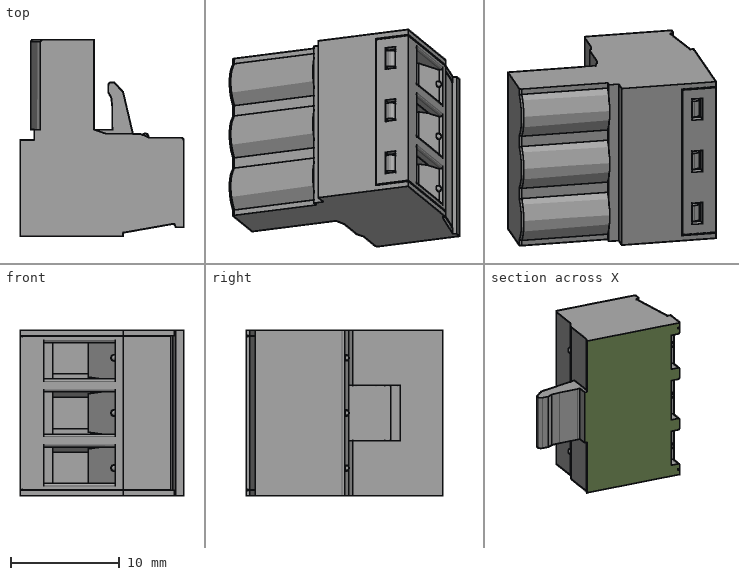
import cadquery as cq
import math


width = 15.05
length = 18.1
height = 15.24
half_height = height / 2
pole_pitch = 5.07
pole_heights = [-pole_pitch, 0, pole_pitch]

neck_x = 1.29
arm_left = 1.86
arm_right = 6.8
arm_base = 9.81
shoulder = 8.89
saddle_start = 7.93
saddle_end = 11.06
saddle_y = 9.43
base_slope_end = 11.87
base_back = 9.09
base_corner_radius = 0.27
entry_width = 9.47
slant_start_y = 0.33
slant_end_x = 14.15
slant_end_y = 1.15
hook_x = 14.3
hook_y = 0.83

rib_front = 0.96
rib_chord = 4.07
rib_bulge = arm_left - rib_front
rib_radius = ((rib_chord / 2) ** 2 + rib_bulge ** 2) / (2 * rib_bulge)
rib_overlap = 0.36
end_chamfer_x = 0.13
end_chamfer_y = 0.2

lever_height = pole_pitch
lever_root_x = 8.5
lever_root_top = 10.08
lever_neck_x = 8.45
lever_neck_top = 11.95
lever_bend_x = 8.36
lever_bend_y = 12.75
lever_bulge_y = 13.25
lever_left = 8.09
lever_tip_y = 14.17
lever_tip_radius = 0.29
lever_tip_right = 8.63
lever_back_x = 9.47
lever_back_y = 13.29
lever_foot_x = 10.37
lever_overlap = 0.18

entry_left = 2.17
entry_right = 8.72
wall_half_height = 1.94
back_half_height = 1.45
outer_wall_limit = 6.48
lip_radius = 0.22
straight_depth = 0.9
entry_depth = 2.39
shelf_right = 2.99
ramp_left = 6.26
ramp_left_y = 1.43
ramp_right_y = 0.36

ball_radius = 0.29
ramp_ball_x = 8.63
ramp_ball_y = 0.43
back_ball_x = 11.51
back_ball_y = 9.18

window_front = 1.27
window_back = 2.26
window_height = 2.06
window_depth = 0.72
spring_front = 1.41
spring_height = 1.52
spring_inset = 0.09
spring_radius = 0.62

groove_width = 0.07
groove_depth = 0.18
groove_height = 7.08
panel_back = 3.22
panel_right = 13.86
ditch_y = 1.47


def box(x_min, x_max, y_min, y_max, z_min, z_max):
    """Axis-aligned block between two corners."""
    size = (x_max - x_min, y_max - y_min, z_max - z_min)
    return cq.Workplane().box(*size, centered=False).translate((x_min, y_min, z_min))


def prism(outline, thickness):
    """Extrude a closed plan outline symmetrically about Z = 0."""
    return outline.extrude(thickness / 2, both=True)


def ball(x, y, z):
    """Contact ball with its poles along Y."""
    sphere = cq.Workplane("XZ").sphere(ball_radius)
    return sphere.translate((x, y, z))


def housing():
    """T-shaped plan with a slanted front and a hook at the far end."""
    outline = cq.Workplane().polyline([
        (0, 0),
        (entry_width, 0),
        (entry_width, slant_start_y),
        (slant_end_x, slant_end_y),
        (hook_x, hook_y),
        (width, hook_y),
        (width, base_back),
        (base_slope_end, base_back),
        (saddle_end, saddle_y),
        (saddle_start, saddle_y),
        (arm_right, arm_base),
        (arm_right, length),
        (arm_left + end_chamfer_x, length),
        (arm_left, length - end_chamfer_y),
        (arm_left, arm_base),
        (neck_x, arm_base),
        (neck_x, shoulder),
        (0, shoulder),
    ]).close()
    back_corner = cq.NearestToPointSelector((width, base_back, 0))
    return prism(outline, height).edges("|Z").edges(back_corner).fillet(base_corner_radius)


def ribs():
    """Cylindrical ribs along the arm, one per pole, bevelled at the free end."""
    profile = cq.Workplane().polyline([
        (0, arm_base),
        (rib_radius, arm_base),
        (rib_radius, length - end_chamfer_y),
        (rib_radius - end_chamfer_x, length),
        (0, length),
    ]).close()
    core = profile.revolve(360, (0, 0), (0, 1)).translate((rib_front + rib_radius, 0, 0))
    near_side = box(rib_front, arm_left + rib_overlap, arm_base, length, -rib_radius, rib_radius)
    rib = core.intersect(near_side)
    all_ribs = cq.Workplane()
    for pole_z in pole_heights:
        all_ribs = all_ribs.add(rib.translate((0, 0, pole_z)))
    return all_ribs.combine()


def lever():
    """Ledge beside the arm carrying a bent release lever."""
    arc_mid = lever_tip_radius * (1 - math.sqrt(0.5))
    outline = (
        cq.Workplane()
        .moveTo(arm_right, saddle_y - lever_overlap)
        .lineTo(arm_right, arm_base)
        .lineTo(lever_root_x, arm_base)
        .lineTo(lever_neck_x, lever_root_top)
        .lineTo(lever_neck_x, lever_neck_top)
        .lineTo(lever_bend_x, lever_bend_y)
        .lineTo(lever_left, lever_bulge_y)
        .lineTo(lever_left, lever_tip_y - lever_tip_radius)
        .threePointArc(
            (lever_left + arc_mid, lever_tip_y - arc_mid),
            (lever_left + lever_tip_radius, lever_tip_y))
        .lineTo(lever_tip_right, lever_tip_y)
        .lineTo(lever_back_x, lever_back_y)
        .lineTo(lever_foot_x, saddle_y)
        .lineTo(lever_foot_x, saddle_y - lever_overlap)
        .close()
    )
    return prism(outline, lever_height)


def wire_entry(pole_z):
    """Pocket with rounded lips, a shelf, tapering floor and roof, and a contact ramp."""
    top = min(pole_z + wall_half_height, outer_wall_limit)
    bottom = max(pole_z - wall_half_height, -outer_wall_limit)
    back_top = min(pole_z + back_half_height, outer_wall_limit)
    back_bottom = max(pole_z - back_half_height, -outer_wall_limit)
    arc_mid = lip_radius * (1 - math.sqrt(0.5))
    pocket = (
        cq.Workplane("YZ", origin=(entry_left, 0, 0))
        .moveTo(0, bottom - lip_radius)
        .threePointArc((arc_mid, bottom - arc_mid), (lip_radius, bottom))
        .lineTo(straight_depth, bottom)
        .lineTo(entry_depth, back_bottom)
        .lineTo(entry_depth, back_top)
        .lineTo(straight_depth, top)
        .lineTo(lip_radius, top)
        .threePointArc((arc_mid, top + arc_mid), (0, top + lip_radius))
        .close()
        .extrude(entry_right - entry_left)
    )
    shelf = box(entry_left, shelf_right, straight_depth, entry_depth, bottom, top)
    ramp = prism(cq.Workplane().polyline([
        (ramp_left, ramp_left_y),
        (entry_right, ramp_right_y),
        (entry_right, entry_depth),
        (ramp_left, entry_depth),
    ]).close(), height)
    return pocket.cut(shelf).cut(ramp)


def test_window(pole_z):
    """Window cutter that leaves a rounded spring end standing inside."""
    half = window_height / 2
    opening = box(0, window_depth, window_front, window_back, -half, half)
    half = spring_height / 2
    spring = box(spring_inset, window_depth, spring_front, window_back, -half, half)
    front_edge = cq.NearestToPointSelector((spring_inset, spring_front, 0))
    spring = spring.edges("|Z").edges(front_edge).fillet(spring_radius)
    return opening.cut(spring).translate((0, 0, pole_z))


def parting_groove():
    """Narrow groove around the entry panel and a ditch along its hooked end."""
    outline = cq.Workplane().polyline([
        (0, 0),
        (0, panel_back),
        (groove_depth, panel_back),
        (groove_depth, groove_depth),
        (entry_width, groove_depth),
        (entry_width, slant_start_y + groove_depth),
        (panel_right, slant_end_y + groove_depth),
        (panel_right, 0),
    ]).close()
    sides = prism(outline, groove_width)
    upper = sides.translate((0, 0, groove_height))
    lower = sides.translate((0, 0, -groove_height))
    half = groove_height + groove_width / 2
    back = box(0, groove_depth, panel_back - groove_width, panel_back, -half, half)
    wall_run = (hook_x - slant_end_x) / (slant_end_y - hook_y)
    ditch = prism(cq.Workplane().polyline([
        (panel_right, hook_y),
        (hook_x, hook_y),
        (slant_end_x - wall_run * (ditch_y - slant_end_y), ditch_y),
        (panel_right, ditch_y),
    ]).close(), 2 * half)
    return upper.union(lower).union(back).union(ditch)


result = housing().union(ribs())
result = result.union(lever()).cut(parting_groove())
for pole_z in pole_heights:
    result = result.cut(wire_entry(pole_z)).cut(test_window(pole_z))
    result = result.union(ball(ramp_ball_x, ramp_ball_y, pole_z))
    result = result.union(ball(back_ball_x, back_ball_y, pole_z))